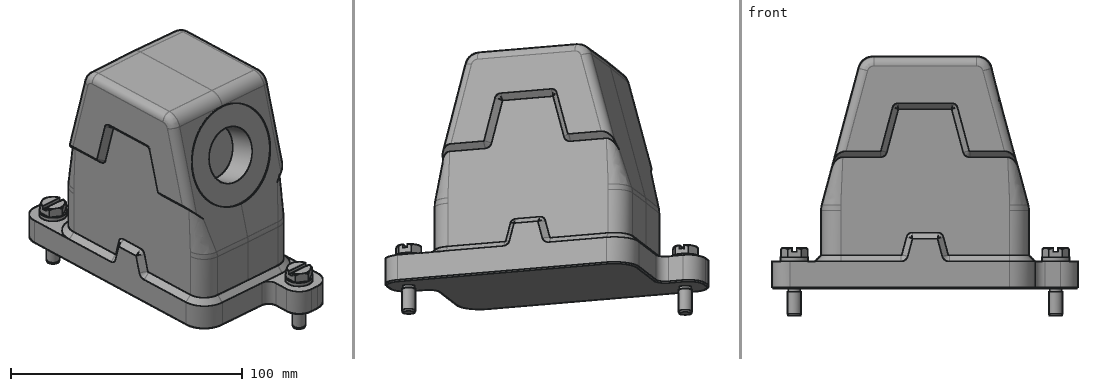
import cadquery as cq
import math

total_length = 132.0
total_width = 58.0
half_width = total_width / 2

step = 2.6

flange_half_length = 47.5
flange_height = 11.7
flange_corner_radius = 11.1
flange_bottom_chamfer = 0.7

lug_width = 18.9
lug_corner_radius = 7.7
lug_root_radius = 4.2

body_half_length = flange_half_length - step
body_half_width = half_width - step
corner_x = flange_half_length - flange_corner_radius
end_slope = math.radians(15)
bend_z = 35.0
bend_radius = 9.2
bend_steps = 3
body_top_z = 60.7
body_top_corner_x = 35.4

crown = 0.3

top_z = 100.2
hood_edge_radius = 3.8
hood_end_radius = 6.6
hood_bottom_z = 48.8
step_z = 56.6
step_inner_y = 19.1

tab_slope = math.radians(15)
tab_root_radius = 3.0
hood_tab_top_z = 77.4
hood_tab_top_half = 11.5
hood_recess_half_length = 52.8
hood_recess_bottom_z = 26.4
flange_tab_top_z = 21.5
flange_tab_top_half = 5.4
flange_tab_bottom_z = 6.6
flange_tab_bottom_half = 26.4

entry_z = 72.9
entry_diameter = 25.0
entry_depth = 13.2
spotface_diameter = 45.3
spotface_depth = 0.7

screw_x = 56.4
screw_y = half_width - lug_width / 2
washer_diameter = 12.0
washer_height = 1.7
hex_corner_diameter = 11.6
head_top_z = 17.5
head_chamfer = 0.7
slot_width = 2.0
slot_depth = 1.6
neck_diameter = 5.3
neck_length = 1.3
thread_diameter = 6.0
thread_end_z = -11.7
tip_length = 0.9


def end_x(z):
    """Half length along the middle plane at height z on the sloping ends."""
    return body_half_length - (z - bend_z) * math.tan(end_slope)


def crowned_x(half_length, y):
    """Half length at distance y from the middle plane."""
    return half_length - crown * y / half_width


def straight_loft(low, high):
    """Solid between two matching sections: flat faces on lines, ruled faces on arcs."""
    faces = [cq.Face.makeFromWires(low), cq.Face.makeFromWires(high)]
    for low_edge, high_edge in zip(low.Edges(), high.Edges()):
        if low_edge.geomType() == "LINE":
            corners = [
                low_edge.startPoint(), low_edge.endPoint(),
                high_edge.endPoint(), high_edge.startPoint(),
            ]
            faces.append(cq.Face.makeFromWires(cq.Wire.makePolygon(corners, close=True)))
        else:
            faces.append(cq.Face.makeRuledSurface(low_edge, high_edge))
    return cq.Workplane(obj=cq.Solid.makeSolid(cq.Shell.makeShell(faces)).fix())


def on_both_sides(solid):
    return solid.union(solid.mirror("XZ"))


def body_section(z, half_length, arc_x):
    """Body outline; the corner arcs meet the long sides at arc_x."""
    radius = (crowned_x(half_length, body_half_width) - arc_x) / (1 - crown / half_width)
    corner_y = body_half_width - radius
    side_x = arc_x + radius
    mid_x = arc_x + radius * math.sqrt(0.5)
    mid_y = corner_y + radius * math.sqrt(0.5)
    return (
        cq.Workplane("XY", origin=(0, 0, z))
        .moveTo(half_length, 0)
        .lineTo(side_x, corner_y)
        .threePointArc((mid_x, mid_y), (arc_x, body_half_width))
        .lineTo(-arc_x, body_half_width)
        .threePointArc((-mid_x, mid_y), (-side_x, corner_y))
        .lineTo(-half_length, 0)
        .lineTo(-side_x, -corner_y)
        .threePointArc((-mid_x, -mid_y), (-arc_x, -body_half_width))
        .lineTo(arc_x, -body_half_width)
        .threePointArc((mid_x, -mid_y), (side_x, -corner_y))
        .close()
        .val()
    )


def step_wedge(limit_z):
    """Space on the -Y side between the 45 degree step, continued inward, and the level limit_z."""
    inner_z = step_z - (body_half_width - step_inner_y)
    return (
        cq.Workplane("YZ")
        .polyline([
            (-body_half_width, step_z), (-body_half_width, limit_z),
            (-step_inner_y, limit_z), (-step_inner_y, inner_z),
        ])
        .close()
        .extrude(hood_recess_half_length, both=True)
    )


def make_body():
    """Upright body, a smooth bend tangent to both parts of its ends, and a sloping upper part."""
    bend_start_z = bend_z - bend_radius * math.tan(end_slope / 2)
    bend_sections = []
    for i in range(bend_steps + 1):
        angle = end_slope * i / bend_steps
        z = bend_start_z + bend_radius * math.sin(angle)
        half_length = body_half_length - bend_radius * (1 - math.cos(angle))
        bend_sections.append(body_section(z, half_length, corner_x))
    bend = cq.Workplane(obj=cq.Solid.makeLoft(bend_sections))
    upright = straight_loft(body_section(flange_height, body_half_length, corner_x), bend_sections[0])
    top = body_section(body_top_z, end_x(body_top_z), body_top_corner_x)
    sloping = straight_loft(bend_sections[-1], top).cut(on_both_sides(step_wedge(body_top_z)))
    return upright.union(bend).union(sloping)


def flared_tab(plane_y, bottom_z, bottom_half, shoulder_z, top_z, top_half):
    """Band with a tab on top, growing at 45 degrees over one step from plane_y towards -Y."""
    root_half = top_half + (top_z - shoulder_z) * math.tan(tab_slope)
    tangent = tab_root_radius * math.tan((math.pi / 2 - tab_slope) / 2)
    arc_low_x = root_half + tangent
    arc_high_x = root_half - tangent * math.sin(tab_slope)
    arc_high_z = shoulder_z + tangent * math.cos(tab_slope)
    return (
        cq.Workplane("XZ", origin=(0, plane_y, 0))
        .moveTo(bottom_half, bottom_z)
        .lineTo(bottom_half, shoulder_z)
        .lineTo(arc_low_x, shoulder_z)
        .tangentArcPoint((arc_high_x, arc_high_z), relative=False)
        .lineTo(top_half, top_z)
        .lineTo(-top_half, top_z)
        .lineTo(-arc_high_x, arc_high_z)
        .tangentArcPoint((-arc_low_x, shoulder_z), relative=False)
        .lineTo(-bottom_half, shoulder_z)
        .lineTo(-bottom_half, bottom_z)
        .close()
        .extrude(step, taper=-45)
    )


def hood_section(z):
    """Outline of the -Y half of the hood."""
    edge_x = crowned_x(end_x(z), half_width)
    points = [(end_x(z), 0), (-end_x(z), 0), (-edge_x, -half_width), (edge_x, -half_width)]
    return cq.Workplane("XY", origin=(0, 0, z)).polyline(points).close().val()


def make_half_hood():
    """Hood on the -Y side: rounded edges, stepped in below over the corners of the body."""
    roof = (
        cq.Workplane("YZ")
        .polyline([
            (0, hood_bottom_z), (-half_width, hood_bottom_z),
            (-half_width, top_z - crown), (0, top_z),
        ])
        .close()
        .extrude(total_length / 2, both=True)
    )
    blank_top_z = top_z + step
    hood = straight_loft(hood_section(hood_bottom_z), hood_section(blank_top_z)).intersect(roof)
    for side in ("<X", ">X"):
        hood = hood.faces(">Z").edges(side).fillet(hood_end_radius)
    hood = hood.faces("<Y").edges("not <Z").fillet(hood_edge_radius)

    recess = flared_tab(
        -body_half_width, hood_recess_bottom_z, hood_recess_half_length,
        step_z, hood_tab_top_z, hood_tab_top_half,
    )
    return hood.cut(recess).cut(step_wedge(hood_recess_bottom_z))


def make_flange():
    """Plate with two lugs, chamfered up to the body, and a tab on each long side."""
    plate = (
        cq.Workplane("XY")
        .rect(2 * flange_half_length, total_width)
        .extrude(flange_height)
        .edges("|Z").fillet(flange_corner_radius)
    )
    rim = plate.faces(">Z").wires().toPending().workplane().extrude(step, taper=45, combine=False)

    lug_length = total_length / 2
    lug = (
        cq.Workplane("XY")
        .center(-lug_length / 2, -screw_y)
        .rect(lug_length, lug_width)
        .extrude(flange_height)
        .edges("|Z and <X").fillet(lug_corner_radius)
    )
    other_lug = lug.rotate((0, 0, 0), (0, 0, 1), 180)
    plate = plate.union(lug).union(other_lug)
    root_y = screw_y - lug_width / 2
    for sign in (-1, 1):
        root = cq.NearestToPointSelector((sign * flange_half_length, sign * root_y, flange_height / 2))
        plate = plate.edges("|Z").edges(root).fillet(lug_root_radius)
    plate = plate.faces("<Z").chamfer(flange_bottom_chamfer)

    tab = flared_tab(
        -half_width, flange_tab_bottom_z, flange_tab_bottom_half,
        flange_height, flange_tab_top_z, flange_tab_top_half,
    ).mirror("XZ", (0, -half_width, 0))
    return plate.union(rim).union(on_both_sides(tab))


def make_entry():
    """Cutter for the cable hole and the shallow seat around it."""
    axis = cq.Vector(math.cos(end_slope), 0, math.sin(end_slope))
    centre = cq.Vector(end_x(entry_z), 0, entry_z)
    seat = cq.Solid.makeCylinder(
        spotface_diameter / 2, 2 * spotface_depth, centre - axis * spotface_depth, axis
    )
    hole = cq.Solid.makeCylinder(entry_diameter / 2, entry_depth, centre - axis * entry_depth, axis)
    return cq.Workplane(obj=hole).union(cq.Workplane(obj=seat))


def make_screw():
    """Slotted hexagon screw through the origin, with its seat at the flange top."""
    thread_radius = thread_diameter / 2
    neck_radius = neck_diameter / 2
    shank = (
        cq.Workplane("XZ")
        .polyline([
            (0, flange_height), (neck_radius, flange_height), (neck_radius, -neck_length),
            (thread_radius, -neck_length), (thread_radius, thread_end_z + tip_length),
            (neck_radius, thread_end_z), (0, thread_end_z),
        ])
        .close()
        .revolve(360, (0, 0, 0), (0, 1, 0))
    )
    washer = (
        cq.Workplane("XY", origin=(0, 0, flange_height))
        .circle(washer_diameter / 2)
        .extrude(washer_height)
    )
    head_height = head_top_z - flange_height
    head_round = (
        cq.Workplane("XY", origin=(0, 0, flange_height))
        .circle(hex_corner_diameter / 2)
        .extrude(head_height)
        .faces(">Z").chamfer(head_chamfer)
    )
    head = (
        cq.Workplane("XY", origin=(0, 0, flange_height))
        .polygon(6, hex_corner_diameter)
        .extrude(head_height)
        .intersect(head_round)
    )
    slot = (
        cq.Workplane("XY", origin=(0, 0, head_top_z - slot_depth))
        .rect(slot_width, hex_corner_diameter)
        .extrude(slot_depth)
    )
    return head.union(washer).cut(slot).union(shank)


result = make_flange().union(make_body()).union(on_both_sides(make_half_hood())).cut(make_entry())
for sign in (-1, 1):
    result = result.union(make_screw().translate((sign * screw_x, sign * screw_y, 0)))